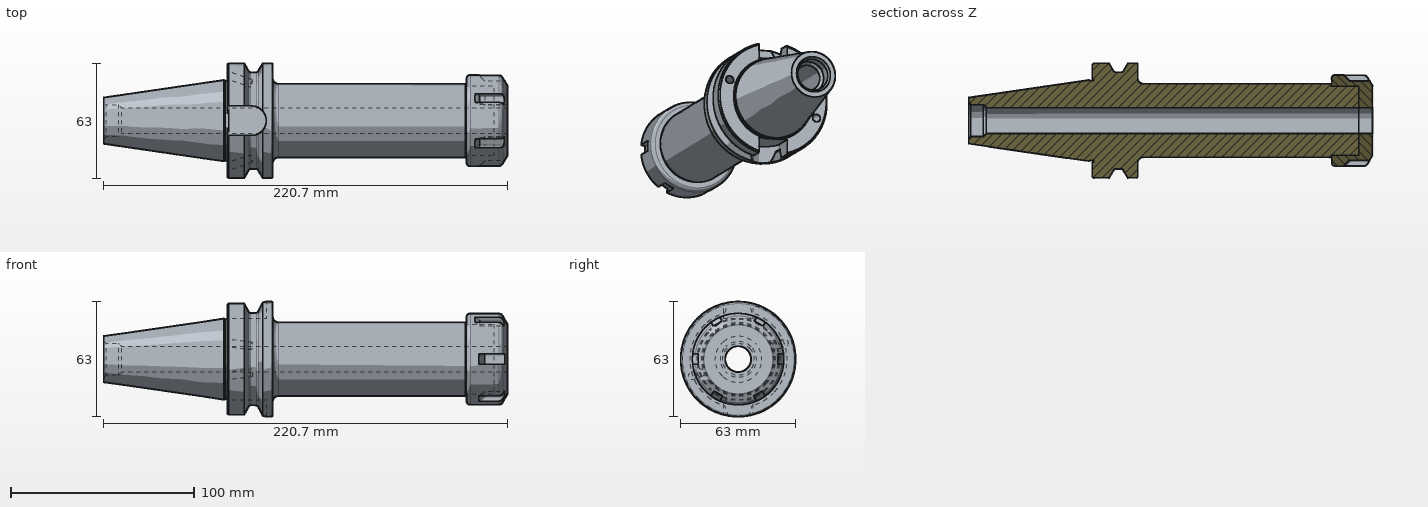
import cadquery as cq
import math


overall_length = 220.68

taper_length = 65.4
gauge_radius = 44.45 / 2
taper_slope = 7 / 24 / 2
taper_tip_radius = gauge_radius - taper_length * taper_slope
flange_front = 2.0
flange_back = 27.0
flange_radius = 63.0 / 2
flange_chamfer = 0.8
flange_fillet = 1.0

relief_start = 0.2
relief_floor_start = 1.0
relief_end = flange_front + 0.8
relief_floor_radius = gauge_radius - 0.3
relief_outer_radius = gauge_radius + 0.45

groove_center = 16.4
groove_floor_width = 4.4
groove_floor_radius = 53.0 / 2
groove_floor_fillet = 1.0
groove_flank_angle = math.radians(30)
groove_flank_length = (flange_radius - groove_floor_radius) * math.tan(groove_flank_angle)
groove_floor_start = groove_center - groove_floor_width / 2
groove_floor_end = groove_center + groove_floor_width / 2

keyway_width = 16.1
keyway_end = 23.4
keyway_floor_height = 22.3

barrel_radius = 20.2
barrel_root_fillet = 3.0
barrel_end_chamfer = 0.6

nut_length = 22.5
nut_front = overall_length - taper_length
nut_back = nut_front - nut_length
nut_radius = 25.0
nut_back_fillet = 2.0
nut_rim_fillet = 2.5
nut_face_radius = 19.0
nut_face_fillet = 0.6
nut_face_angle = math.radians(30)
nut_cone_length = (nut_radius - nut_face_radius) * math.tan(nut_face_angle)

slot_count = 6
slot_width = 5.6
slot_fillet = 0.4
slot_start = nut_back + 6.6
slot_floor_radius = 21.7
long_slot_angles = (60, 120)
long_slot_start = nut_back + 4.6
long_slot_floor_radius = 22.4

nose_radius = 19.0
nose_length = 15.0
nose_end = nut_back + nose_length

bore_radius = 7.0
pilot_radius = 17.3 / 2
pilot_depth = 8.0
mouth_radius = 19.6 / 2
mouth_chamfer = mouth_radius - pilot_radius
bore_step = pilot_radius - bore_radius

coolant_diameter = 4.2
coolant_pitch_radius = 26.6
coolant_angle = 19.7
coolant_tilt = math.radians(20)
coolant_depth = 14.0

edge_margin = 0.1


def revolve_about_x(outline):
    """Turn a closed (x, radius) outline about the X axis."""
    return outline.close().revolve(360, (0, 0, 0), (1, 0, 0))


def circle_at(x, radius):
    """Selector for the circular edges at the given x that lie within the given radius."""
    reach = radius + edge_margin
    return cq.selectors.BoxSelector(
        (x - edge_margin, -reach, -reach), (x + edge_margin, reach, reach), boundingbox=True
    )


def turned_holder():
    outline = (
        cq.Workplane("XY")
        .moveTo(-taper_length, 0)
        .lineTo(-taper_length, taper_tip_radius)
        .lineTo(0, gauge_radius)
        .lineTo(relief_start, gauge_radius)
        .lineTo(relief_floor_start, relief_floor_radius)
        .lineTo(relief_end, relief_floor_radius)
        .lineTo(relief_end, relief_outer_radius)
        .lineTo(flange_front, relief_outer_radius)
        .lineTo(flange_front, flange_radius - flange_chamfer)
        .lineTo(flange_front + flange_chamfer, flange_radius)
        .lineTo(groove_floor_start - groove_flank_length, flange_radius)
        .lineTo(groove_floor_start, groove_floor_radius)
        .lineTo(groove_floor_end, groove_floor_radius)
        .lineTo(groove_floor_end + groove_flank_length, flange_radius)
        .lineTo(flange_back - flange_fillet, flange_radius)
        .radiusArc((flange_back, flange_radius - flange_fillet), flange_fillet)
        .lineTo(flange_back, barrel_radius + barrel_root_fillet)
        .radiusArc((flange_back + barrel_root_fillet, barrel_radius), -barrel_root_fillet)
        .lineTo(nut_back - barrel_end_chamfer, barrel_radius)
        .lineTo(nut_back, barrel_radius - barrel_end_chamfer)
        .lineTo(nut_back, nose_radius)
        .lineTo(nose_end, nose_radius)
        .lineTo(nose_end, 0)
    )
    holder = revolve_about_x(outline)
    for floor_edge in (groove_floor_start, groove_floor_end):
        holder = holder.edges(circle_at(floor_edge, groove_floor_radius)).fillet(groove_floor_fillet)
    return holder


def holder_bore():
    pilot_end = -taper_length + pilot_depth
    outline = (
        cq.Workplane("XY")
        .moveTo(-taper_length, 0)
        .lineTo(-taper_length, mouth_radius)
        .lineTo(-taper_length + mouth_chamfer, pilot_radius)
        .lineTo(pilot_end, pilot_radius)
        .lineTo(pilot_end + bore_step, bore_radius)
        .lineTo(nose_end, bore_radius)
        .lineTo(nose_end, 0)
    )
    return revolve_about_x(outline)


def keyway(side):
    """Round-ended keyway, open toward the taper, on the +Z (1) or -Z (-1) side."""
    half_width = keyway_width / 2
    arc_start = keyway_end - half_width
    return (
        cq.Workplane("XY", origin=(0, 0, side * keyway_floor_height))
        .moveTo(0, -half_width)
        .lineTo(arc_start, -half_width)
        .threePointArc((keyway_end, 0), (arc_start, half_width))
        .lineTo(0, half_width)
        .close()
        .extrude(side * flange_radius)
    )


def coolant_hole(angle):
    """Blind hole in the flange face that leans toward the axis as it goes deeper."""
    lead_in = coolant_diameter
    axis = cq.Vector(math.cos(coolant_tilt), -math.sin(coolant_tilt), 0)
    start = cq.Vector(flange_front, coolant_pitch_radius, 0) - axis * lead_in
    hole = cq.Solid.makeCylinder(coolant_diameter / 2, coolant_depth + lead_in, start, axis)
    return cq.Workplane(hole).rotate((0, 0, 0), (1, 0, 0), angle)


def build_holder():
    holder = turned_holder().cut(holder_bore())
    for side in (1, -1):
        holder = holder.cut(keyway(side))
    for half_turn in (0, 180):
        holder = holder.cut(coolant_hole(coolant_angle + half_turn))
    return holder


def turned_nut():
    outline = (
        cq.Workplane("XY")
        .moveTo(nut_back, nose_radius)
        .lineTo(nut_back, nut_radius - nut_back_fillet)
        .radiusArc((nut_back + nut_back_fillet, nut_radius), nut_back_fillet)
        .lineTo(nut_front - nut_cone_length, nut_radius)
        .lineTo(nut_front, nut_face_radius)
        .lineTo(nut_front, bore_radius)
        .lineTo(nose_end, bore_radius)
        .lineTo(nose_end, nose_radius)
    )
    nut = revolve_about_x(outline)
    nut = nut.edges(circle_at(nut_front - nut_cone_length, nut_radius)).fillet(nut_rim_fillet)
    return nut.faces(">X").edges(cq.selectors.RadiusNthSelector(-1)).fillet(nut_face_fillet)


def wrench_slot(angle, start, floor_radius):
    """Slot open at the front and the rim, with a 45 degree run-out at its back end."""
    overshoot = 1.0
    ramp = nut_radius - floor_radius
    top = nut_radius + overshoot
    return (
        cq.Workplane("XY")
        .moveTo(start - overshoot, top)
        .lineTo(start + ramp, floor_radius)
        .lineTo(nut_front + overshoot, floor_radius)
        .lineTo(nut_front + overshoot, top)
        .close()
        .extrude(slot_width / 2, both=True)
        .faces("<Y or <X")
        .edges("not |Z")
        .fillet(slot_fillet)
        .rotate((0, 0, 0), (1, 0, 0), angle)
    )


def build_nut():
    nut = turned_nut()
    for index in range(slot_count):
        angle = index * 360 / slot_count
        if angle in long_slot_angles:
            slot = wrench_slot(angle, long_slot_start, long_slot_floor_radius)
        else:
            slot = wrench_slot(angle, slot_start, slot_floor_radius)
        nut = nut.cut(slot)
    return nut


holder = build_holder()
nut = build_nut()
result = cq.Compound.makeCompound([*holder.solids().vals(), *nut.solids().vals()])